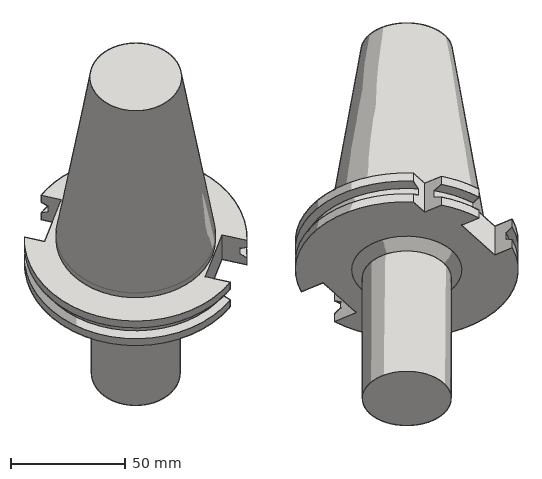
import cadquery as cq
import math

total_height = 191.8
taper_height = 101.8
band_height = 3.0
flange_height = 16.0
neck_height = 4.6

shank_diameter = 39.0
gauge_diameter = 69.8
flange_diameter = 97.5
taper_ratio = 7 / 24

groove_floor_width = 3.5
groove_depth = 3.0
groove_wall_angle = 30.0

key_slot_width = 25.7
shallow_slot_floor = 37.8
deep_slot_floor = 35.5
notch_corner = 29.7

taper_base_z = total_height - taper_height
flange_top_z = taper_base_z - band_height
flange_base_z = flange_top_z - flange_height
flange_mid_z = flange_base_z + flange_height / 2
neck_base_z = flange_base_z - neck_height

shank_radius = shank_diameter / 2
neck_radius = shank_radius + neck_height
gauge_radius = gauge_diameter / 2
flange_radius = flange_diameter / 2
taper_tip_radius = gauge_radius - taper_height * taper_ratio / 2


def revolve_profile(points):
    """Turn a closed (radius, height) outline around the Z axis."""
    return cq.Workplane("XZ").polyline(points).close().revolve(360, (0, 0), (0, 1))


def make_body():
    """Shank, conical neck, flange, gauge band and steep taper."""
    return revolve_profile([
        (0, 0),
        (shank_radius, 0),
        (shank_radius, neck_base_z),
        (neck_radius, flange_base_z),
        (flange_radius, flange_base_z),
        (flange_radius, flange_top_z),
        (gauge_radius, flange_top_z),
        (gauge_radius, taper_base_z),
        (taper_tip_radius, total_height),
        (0, total_height),
    ])


def make_groove():
    """Ring with sloping walls, centred on the flange rim."""
    floor_half = groove_floor_width / 2
    mouth_half = floor_half + groove_depth * math.tan(math.radians(groove_wall_angle))
    floor_radius = flange_radius - groove_depth
    return revolve_profile([
        (floor_radius, flange_mid_z - floor_half),
        (flange_radius, flange_mid_z - mouth_half),
        (flange_radius, flange_mid_z + mouth_half),
        (floor_radius, flange_mid_z + floor_half),
    ])


def flange_cutter(x_min, x_max, y_min, y_max):
    """Block as tall as the flange, covering the given X and Y ranges."""
    return (
        cq.Workplane("XY")
        .box(x_max - x_min, y_max - y_min, flange_height, centered=False)
        .translate((x_min, y_min, flange_base_z))
    )


result = make_body().cut(make_groove())

half_slot = key_slot_width / 2
for x_min, x_max in ((-flange_radius, -shallow_slot_floor), (deep_slot_floor, flange_radius)):
    result = result.cut(flange_cutter(x_min, x_max, -half_slot, half_slot))

result = result.cut(flange_cutter(-flange_radius, -notch_corner, notch_corner, flange_radius))